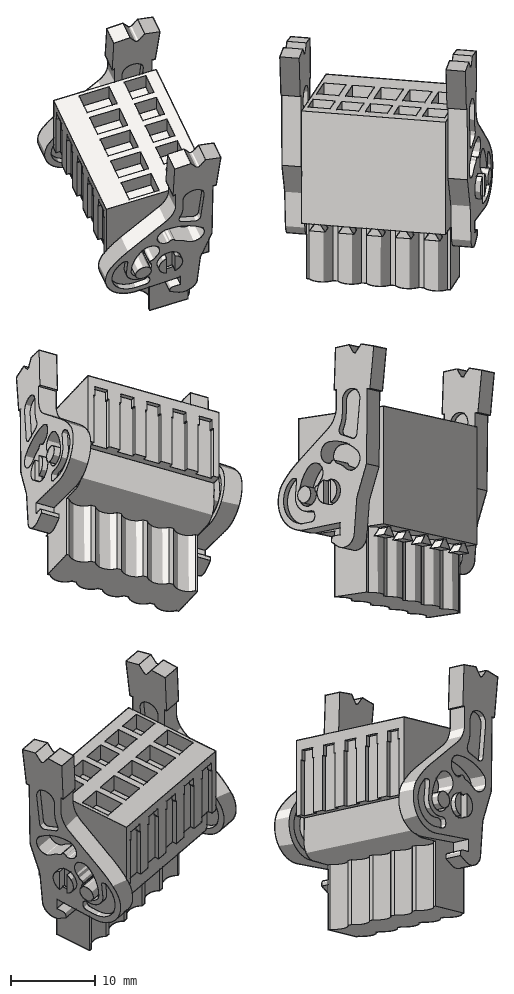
import cadquery as cq
import math


pole_count = 5
pole_pitch = 3.48
pole_x = [(i - (pole_count - 1) / 2) * pole_pitch for i in range(pole_count)]

housing_width = 17.48
block_back = 6.05
block_front = -6.97
block_top = 22.1
block_bottom = 7.9
step_depth = 1.35
step_top = 12.9
step_fillet = 1.8

plug_back = 3.42
plug_front = -1.48
flute_half_width = 1.45
flute_height = 0.75

lug_back = 5.43
lug_neck_half_width = 0.32
lug_foot_half_width = 0.95
lug_ramp_top = 7.75
lug_bottom = 6.82

entry_width = 2.7
entry_depth = 2.2
entry_rows = [(1.83, 4.58), (-3.9, -0.1)]
groove_depth = 0.55
groove_width = 2.0
groove_shoulder = 19.57
groove_tip_width = 1.7
groove_top = 20.8

pin_end = 11.95
pin_z = 12.1
pivot_radius = 1.5
pivot_slot_width = 1.05
pivot_slot_depth = 0.95
guide_y = -pole_pitch
guide_radius = 1.0

lever_inner_x = 8.92
lever_thickness = 2.35
pocket_depth = 0.75
notch_root = (3.65, 28.25)
notch_fillet = 0.3
hook_tip = (0.12, 6.75)
hook_fillet = 0.45
hub_y = -4.15
hub_z = 11.85
finger_front_corner = (1.15, 19.0)
finger_back_corner = (3.95, 17.92)
finger_fillet = 0.6
crescent_radius = 3.05
crescent_inner_radius = 1.92
crescent_top_y = -5.17
crescent_top_z = 14.38
crescent_heel_y = -2.42
crescent_heel_z = 8.85
crescent_tip_fillet = 0.35
crescent_heel_fillet = 0.6
window_half_width = 1.3
bump_radius = 0.38
bump_inset = 0.05
bump_fillet = 0.35
arc_windows = [
    (4.78, 48.0, 92.0, 83.0),
    (pole_pitch, 135.0, 180.0, 163.0),
]


def side_plane(x):
    """Sketch plane facing +X, with sketch axes along Y and Z."""
    return cq.Workplane("YZ", origin=(x, 0, 0))


def box(x_range, y_range, z_range):
    (x0, x1), (y0, y1), (z0, z1) = x_range, y_range, z_range
    return cq.Workplane("XY").box(x1 - x0, y1 - y0, z1 - z0, centered=False).translate((x0, y0, z0))


def around_pivot(radius, degrees):
    """Point (Y, Z) at a radius and angle around the pivot axis."""
    angle = math.radians(degrees)
    return (radius * math.cos(angle), pin_z + radius * math.sin(angle))




def housing_block():
    profile = [
        (block_back, block_bottom),
        (block_back, block_top),
        (block_front, block_top),
        (block_front, step_top),
        (block_front + step_depth, step_top),
        (block_front + step_depth, block_bottom),
    ]
    block = side_plane(-housing_width / 2).polyline(profile).close().extrude(housing_width)
    front_lower_edge = cq.selectors.NearestToPointSelector((0, block_front + step_depth, block_bottom))
    return block.edges(front_lower_edge).fillet(step_fillet)


def arched_column(x, base_y):
    """Column with a flat side at base_y and an arched side bulging towards +Y."""
    return (
        cq.Workplane("XY")
        .moveTo(x - flute_half_width, base_y)
        .threePointArc((x, base_y + flute_height), (x + flute_half_width, base_y))
        .close()
        .extrude(block_bottom)
    )


def plug():
    """Mating body with a round rib on the back and a round flute on the front of every pole."""
    half_width = housing_width / 2
    body = box((-half_width, half_width), (plug_front, plug_back), (0, block_bottom))
    for x in pole_x:
        body = body.union(arched_column(x, plug_back)).cut(arched_column(x, plug_front))
    return body


def coding_lug(x):
    """Dovetail lug under the block, reaching from the plug to the back."""
    half_profile = [
        (lug_neck_half_width, block_bottom),
        (lug_neck_half_width, lug_ramp_top),
        (lug_foot_half_width, lug_bottom),
    ]
    profile = half_profile + [(-u, z) for u, z in reversed(half_profile)]
    sketch = cq.Workplane("XZ", origin=(x, lug_back, 0)).polyline(profile).close()
    return sketch.extrude(lug_back - plug_back)


def release_groove(x):
    """Stepped groove in the front face, open at the step below."""
    half_profile = [
        (groove_width / 2, step_top),
        (groove_width / 2, groove_shoulder),
        (groove_tip_width / 2, groove_shoulder),
        (groove_tip_width / 2, groove_top),
    ]
    profile = half_profile + [(-u, z) for u, z in reversed(half_profile)]
    sketch = cq.Workplane("XZ", origin=(x, block_front + groove_depth, 0)).polyline(profile).close()
    return sketch.extrude(groove_depth)


def wire_entry(x, row):
    half_width = entry_width / 2
    return box((x - half_width, x + half_width), row, (block_top - entry_depth, block_top))


def side_pins():
    """Slotted pivot pins and plain guide pins on both sides."""
    pins = side_plane(-pin_end).center(0, pin_z).circle(pivot_radius).extrude(2 * pin_end)
    pins = pins.union(side_plane(-pin_end).center(guide_y, pin_z).circle(guide_radius).extrude(2 * pin_end))
    slot_y = (-pivot_slot_width / 2, pivot_slot_width / 2)
    slot_z = (pin_z - pivot_radius, pin_z + pivot_radius)
    slot_floor = pin_end - pivot_slot_depth
    pins = pins.cut(box((-pin_end, -slot_floor), slot_y, slot_z))
    pins = pins.cut(box((slot_floor, pin_end), slot_y, slot_z))
    return pins


def make_housing():
    body = housing_block().union(plug()).union(side_pins())
    for x in pole_x:
        body = body.union(coding_lug(x))
        body = body.cut(release_groove(x))
        for row in entry_rows:
            body = body.cut(wire_entry(x, row))
    return body




def lever_plate():
    """Lever outline, drawn from the notched grip round the front, the hub and the hook."""
    plate = (
        side_plane(0)
        .moveTo(6.6, 28.93)
        .lineTo(4.65, 29.4)
        .lineTo(*notch_root)
        .lineTo(2.8, 29.52)
        .lineTo(0.75, 29.4)
        .lineTo(0.53, 24.32)
        .lineTo(0.85, 24.32)
        .lineTo(0.85, 22.25)
        .tangentArcPoint((-0.35, 19.8), relative=False)
        .lineTo(-5.17, 16.18)
        .tangentArcPoint((-7.53, 13.75), relative=False)
        .threePointArc((-6.85, 9.05), (-4.0, 8.0))
        .lineTo(1.48, 8.25)
        .lineTo(1.48, 6.75)
        .lineTo(*hook_tip)
        .lineTo(0.12, 6.02)
        .lineTo(1.25, 5.35)
        .threePointArc((2.92, 5.45), (3.6, 6.46))
        .lineTo(4.0, 10.95)
        .lineTo(5.5, 14.85)
        .lineTo(5.6, 23.88)
        .lineTo(6.02, 23.88)
        .close()
        .extrude(lever_thickness)
    )
    notch = cq.selectors.NearestToPointSelector((lever_thickness / 2, *notch_root))
    hook = cq.selectors.NearestToPointSelector((lever_thickness / 2, *hook_tip))
    return plate.edges(notch).fillet(notch_fillet).edges(hook).fillet(hook_fillet)


def finger_pocket(x):
    """Long pocket in the grip."""
    pocket = (
        side_plane(x)
        .moveTo(4.5, 22.88)
        .threePointArc((3.13, 24.2), (1.8, 22.88))
        .lineTo(1.8, 21.52)
        .tangentArcPoint((1.42, 19.8), relative=False)
        .lineTo(*finger_front_corner)
        .lineTo(*finger_back_corner)
        .close()
        .extrude(pocket_depth)
    )
    for corner in (finger_front_corner, finger_back_corner):
        corner_edge = cq.selectors.NearestToPointSelector((x + pocket_depth / 2, *corner))
        pocket = pocket.edges(corner_edge).fillet(finger_fillet)
    return pocket


def crescent_pocket(x):
    """Curved pocket between the guide pin window and the rim of the hub."""
    diagonal = math.sqrt(0.5)
    top_outer_y = hub_y - math.sqrt(crescent_radius**2 - (crescent_top_z - hub_z) ** 2)
    pocket = (
        side_plane(x)
        .moveTo(crescent_top_y, crescent_top_z)
        .lineTo(guide_y - crescent_inner_radius, pin_z)
        .threePointArc(
            (guide_y - crescent_inner_radius * diagonal, pin_z - crescent_inner_radius * diagonal),
            (guide_y, pin_z - crescent_inner_radius),
        )
        .lineTo(crescent_heel_y, pin_z - crescent_inner_radius)
        .lineTo(crescent_heel_y, crescent_heel_z)
        .lineTo(hub_y, hub_z - crescent_radius)
        .threePointArc(
            (hub_y - crescent_radius * diagonal, hub_z - crescent_radius * diagonal),
            (top_outer_y, crescent_top_z),
        )
        .close()
        .extrude(pocket_depth)
    )
    pocket = pocket.edges("|X and >Z").fillet(crescent_tip_fillet)
    return pocket.edges("|X and >Y").fillet(crescent_heel_fillet)


def arc_window(radius, start, end, bump_angle):
    """Round-ended slot around the pivot, with a rounded detent bump on its inner wall."""
    outer = radius + window_half_width
    inner = radius - window_half_width
    middle = (start + end) / 2
    window = (
        side_plane(0)
        .moveTo(*around_pivot(outer, start))
        .threePointArc(around_pivot(outer, middle), around_pivot(outer, end))
        .tangentArcPoint(around_pivot(inner, end), relative=False)
        .threePointArc(around_pivot(inner, middle), around_pivot(inner, start))
        .tangentArcPoint(around_pivot(outer, start), relative=False)
        .close()
        .extrude(lever_thickness)
    )
    bump_y, bump_z = around_pivot(inner - bump_inset, bump_angle)
    bump = side_plane(0).center(bump_y, bump_z).circle(bump_radius).extrude(lever_thickness)
    bump_zone = cq.selectors.BoxSelector(
        (0, bump_y - bump_radius, bump_z - bump_radius),
        (lever_thickness, bump_y + bump_radius, bump_z + bump_radius),
    )
    return window.cut(bump).edges("|X").edges(bump_zone).fillet(bump_fillet)


def make_lever(x):
    """One lever whose -X side lies at x; the blind pockets are cut from both sides."""
    lever = lever_plate()
    lever = lever.cut(side_plane(0).center(0, pin_z).circle(pivot_radius).extrude(lever_thickness))
    for window in arc_windows:
        lever = lever.cut(arc_window(*window))
    for pocket_x in (0, lever_thickness - pocket_depth):
        lever = lever.cut(finger_pocket(pocket_x)).cut(crescent_pocket(pocket_x))
    return lever.translate((x, 0, 0))


housing = make_housing()
levers = [make_lever(x) for x in (-lever_inner_x - lever_thickness, lever_inner_x)]

result = cq.Compound.makeCompound([housing.val(), *[lever.val() for lever in levers]])